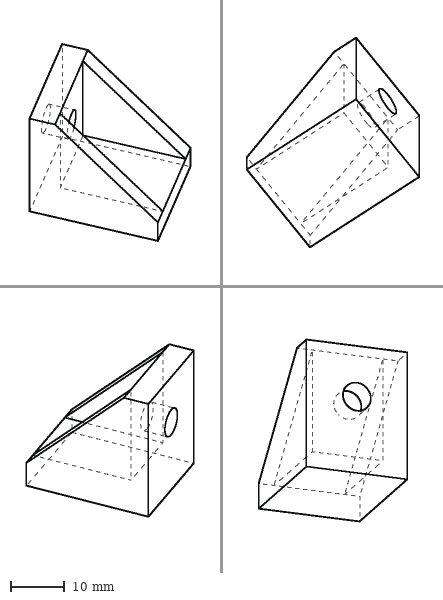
import cadquery as cq

length = 25.0
width = 20.0
height = 25.0
plate = 5.0
cheek = 3
hole_diameter = 5.5
hole_height = plate + (height - plate) / 2

body = (
    cq.Workplane("XZ")
    .polyline([(0, 0), (length, 0), (length, plate), (plate, height), (0, height)])
    .close()
    .extrude(width / 2, both=True)
)

pocket = cq.Workplane("XY").box(
    length - plate, width - 2 * cheek, height - plate, centered=(False, True, False)
).translate((plate, 0, plate))

hole = cq.Workplane("YZ").center(0, hole_height).circle(hole_diameter / 2).extrude(plate)

result = body.cut(pocket).cut(hole)